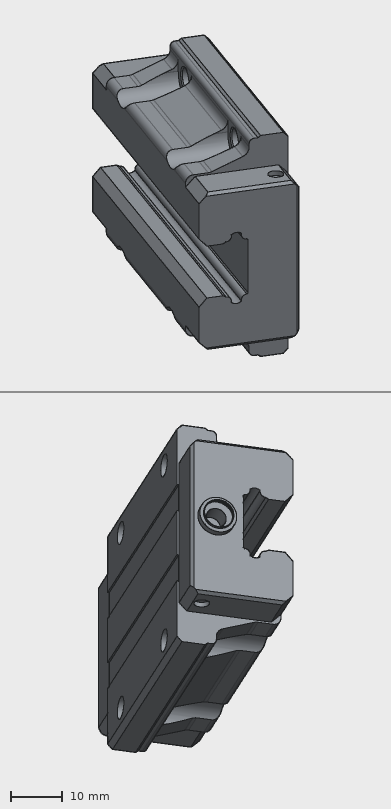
import cadquery as cq
import math


total_length = 66.4
total_height = 21.0
flange_half_width = 23.5
body_half_width = 17.1

block_length = 48.0
face_chamfer = 1.0
flange_underside = 13.0
flange_corner_radius = 1.0
step_top = 15.35
step_bottom = 14.8
step_depth = 0.4
flange_root_radius = 2.0
web_slope = 20.0
web_end = 5.05
web_blend_radius = 2.25
body_corner_radius = 1.6

relief_inner = 4.8
relief_outer = 10.4
relief_depth = 0.3

caps_length = 64.5
cap_height = 20.6
cap_half_width = 16.7
cap_top_chamfer = 1.6
cap_bottom_chamfer = 2.0
cap_edge_chamfer = 0.6

channel_depth = 10.0
channel_half_width = 5.5
channel_end = 4.9
mouth_half_width = 7.25
mouth_chamfer = 1.6
groove_height = 7.65
groove_half_width = 1.0
groove_wall = 0.2
groove_sag = 0.4
lip_half_width = 5.85
lip_radius = 1.1
floor_bevel = 0.2

hole_pitch_x = 30.0
hole_pitch_z = 38.0
hole_radius = 2.25
hole_chamfer = 0.25
spot_radius = 4.0

port_radius = 1.5
port_depth = 1.0
port_height = 17.1
port_inset = 4.3

nipple_height = 15.5
nipple_length = total_length - caps_length
nipple_radius = 3.7
nipple_rim_radius = 3.0
nipple_rim_length = 0.5
nipple_mouth_radius = 2.9
nipple_mouth_length = 0.8
nipple_cavity_radius = 3.45
nipple_bore_radius = 2.0
nipple_bore_depth = 4.0


def sketch_yz(start_x):
    """Workplane across the rail at X = start_x; sketch coordinates are (Y, Z)."""
    return cq.Workplane("YZ", origin=(start_x, 0, 0))


def both_sides(half):
    """Join a half that lies at Z >= 0 with its mirror image."""
    return half.union(half.mirror("XY"))


def box_between(low, high):
    """Axis-aligned box between two opposite corners."""
    sizes = [b - a for a, b in zip(low, high)]
    return cq.Workplane("XY").box(*sizes, centered=False).translate(low)


def make_block():
    step_half_width = flange_half_width - step_depth
    web_rise = (flange_underside - web_end) * math.tan(math.radians(web_slope))
    root_half_width = body_half_width + web_rise
    half = (
        sketch_yz(-block_length / 2)
        .moveTo(0, 0)
        .lineTo(total_height, 0)
        .lineTo(total_height, flange_half_width - face_chamfer)
        .lineTo(total_height - face_chamfer, flange_half_width)
        .lineTo(step_top, flange_half_width)
        .lineTo(step_bottom, step_half_width)
        .lineTo(flange_underside, step_half_width)
        .lineTo(flange_underside, root_half_width)
        .lineTo(web_end, body_half_width)
        .lineTo(0, body_half_width)
        .close()
        .extrude(block_length)
    )
    rounded_corners = [
        (flange_underside, step_half_width, flange_corner_radius),
        (flange_underside, root_half_width, flange_root_radius),
        (web_end, body_half_width, web_blend_radius),
        (0, body_half_width, body_corner_radius),
    ]
    for y, z, radius in rounded_corners:
        half = half.edges(cq.NearestToPointSelector((0, y, z))).fillet(radius)
    relief = box_between(
        (-block_length / 2, total_height - relief_depth, relief_inner),
        (block_length / 2, total_height, relief_outer),
    )
    return both_sides(half.cut(relief))


def make_caps():
    """End caps as one bar over the full length; the block covers its middle."""
    half_profile = (
        sketch_yz(-caps_length / 2)
        .moveTo(0, 0)
        .lineTo(cap_height, 0)
        .lineTo(cap_height, cap_half_width - cap_top_chamfer)
        .lineTo(cap_height - cap_top_chamfer, cap_half_width)
        .lineTo(cap_bottom_chamfer, cap_half_width)
        .lineTo(0, cap_half_width - cap_bottom_chamfer)
        .close()
        .extrude(caps_length)
    )
    envelope = (
        box_between(
            (-caps_length / 2, 0, -cap_half_width),
            (caps_length / 2, cap_height, cap_half_width),
        )
        .faces("<X or >X")
        .edges("not <Y")
        .chamfer(cap_edge_chamfer)
    )
    return both_sides(half_profile).intersect(envelope)


def make_channel():
    lip_offset = groove_half_width + lip_radius
    lip_arc_offset = lip_offset - lip_radius * math.sqrt(0.5)
    lip_arc_half_width = lip_half_width + lip_radius * (1 - math.sqrt(0.5))
    groove_edge = lip_half_width + lip_radius
    half = (
        sketch_yz(-caps_length / 2)
        .moveTo(0, 0)
        .lineTo(0, mouth_half_width)
        .lineTo(mouth_chamfer, channel_half_width)
        .lineTo(channel_end, channel_half_width)
        .lineTo(groove_height - lip_offset, lip_half_width)
        .threePointArc(
            (groove_height - lip_arc_offset, lip_arc_half_width),
            (groove_height - groove_half_width, groove_edge),
        )
        .line(0, groove_wall)
        .threePointArc(
            (groove_height, groove_edge + groove_wall + groove_sag),
            (groove_height + groove_half_width, groove_edge + groove_wall),
        )
        .line(0, -groove_wall)
        .threePointArc(
            (groove_height + lip_arc_offset, lip_arc_half_width),
            (groove_height + lip_offset, lip_half_width),
        )
        .lineTo(channel_depth, lip_half_width - floor_bevel)
        .lineTo(channel_depth, 0)
        .close()
        .extrude(caps_length)
    )
    return both_sides(half)


def cylinder_y(x, z, radius, low, high):
    """Cylinder parallel to Y from height low to height high."""
    return cq.Workplane("XZ", origin=(x, low, z)).circle(radius).extrude(low - high)


def make_mounting_cuts():
    """Spot faces open to the flange edge, and through holes chamfered at the spot face."""
    cuts = cq.Workplane("XY")
    hole_z = hole_pitch_z / 2
    for hole_x in (-hole_pitch_x / 2, hole_pitch_x / 2):
        spot = cylinder_y(hole_x, hole_z, spot_radius, 0, flange_underside)
        spot_side = box_between(
            (hole_x - spot_radius, 0, hole_z),
            (hole_x + spot_radius, flange_underside, flange_half_width),
        )
        hole = cylinder_y(hole_x, hole_z, hole_radius, 0, total_height)
        countersink = (
            cylinder_y(hole_x, hole_z, hole_radius + hole_chamfer, 0, flange_underside + hole_chamfer)
            .faces(">Y")
            .chamfer(hole_chamfer)
        )
        cuts = cuts.union(spot).union(spot_side).union(hole).union(countersink)
    return both_sides(cuts)


def make_ports():
    ports = cq.Workplane("XY")
    port_offset = caps_length / 2 - port_inset
    for port_x in (-port_offset, port_offset):
        floor = cq.Workplane("XY", origin=(port_x, port_height, cap_half_width - port_depth))
        ports = ports.union(floor.circle(port_radius).extrude(port_depth))
    return both_sides(ports)


def add_nipple(body):
    cap_end = -caps_length / 2
    tip = cap_end - nipple_length

    def cylinder_x(radius, start, end):
        """Cylinder on the nipple axis from X = start to X = end."""
        return sketch_yz(start).center(nipple_height, 0).circle(radius).extrude(end - start)

    collar = cylinder_x(nipple_radius, tip + nipple_rim_length, cap_end)
    rim = cylinder_x(nipple_rim_radius, tip, cap_end)
    mouth = cylinder_x(nipple_mouth_radius, tip, cap_end)
    cavity = cylinder_x(nipple_cavity_radius, tip + nipple_mouth_length, cap_end)
    bore = cylinder_x(nipple_bore_radius, tip, cap_end + nipple_bore_depth)
    return body.union(collar).union(rim).cut(mouth).cut(cavity).cut(bore)


carriage = make_block().union(make_caps()).cut(make_channel())
carriage = carriage.cut(make_mounting_cuts()).cut(make_ports())
result = add_nipple(carriage)